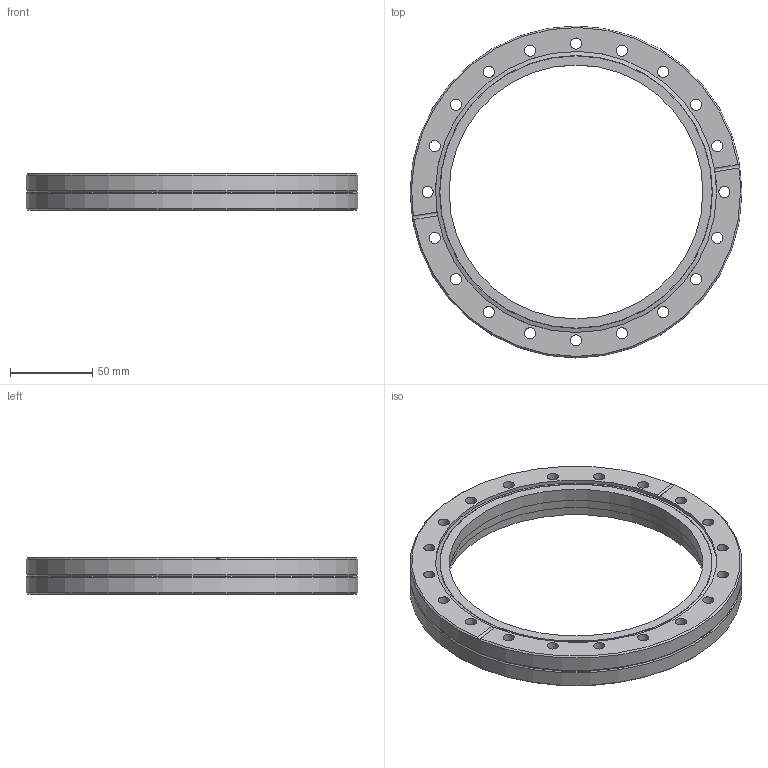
import cadquery as cq
import math

outer_diameter = 202.4
thickness = 22.2
bore_diameter = 154.8
rim_chamfer = 0.9

rim_groove_width = 1.8
rim_groove_depth = 0.5

recess_diameter = 171.4
recess_depth = 2.2
knife_diameter = 166.0
knife_tip_width = 0.2
knife_angle = 20.0
inner_land_depth = 1.1

deep_counterbore_diameter = 158.8
deep_counterbore_depth = 12.9
shallow_counterbore_diameter = 161.0
shallow_counterbore_depth = 6.1

bolt_count = 20
bolt_circle_diameter = 181.0
bolt_hole_diameter = 6.8

leak_groove_width = 2.2
leak_groove_depth = 0.6

outer_radius = outer_diameter / 2
bore_radius = bore_diameter / 2
recess_radius = recess_diameter / 2
bolt_pitch_angle = 360 / bolt_count


def revolved(points):
    """Revolve a closed (radius, height) outline about the Z axis."""
    return cq.Workplane("XZ").polyline(points).close().revolve(360, (0, 0), (0, 1))


def flange_ring():
    knife_radius = knife_diameter / 2
    knife_slope_radius = knife_radius + knife_tip_width
    deep_radius = deep_counterbore_diameter / 2
    shallow_radius = shallow_counterbore_diameter / 2
    recess_floor = thickness - recess_depth
    land = thickness - inner_land_depth
    knife_slope_height = (recess_radius - knife_slope_radius) * math.tan(math.radians(knife_angle))
    knife_tip = recess_floor + knife_slope_height
    middle = thickness / 2
    return revolved([
        (shallow_radius, 0),
        (outer_radius - rim_chamfer, 0),
        (outer_radius, rim_chamfer),
        (outer_radius, middle - rim_groove_width / 2),
        (outer_radius - rim_groove_depth, middle),
        (outer_radius, middle + rim_groove_width / 2),
        (outer_radius, thickness - rim_chamfer),
        (outer_radius - rim_chamfer, thickness),
        (recess_radius, thickness),
        (recess_radius, recess_floor),
        (knife_slope_radius, knife_tip),
        (knife_radius, knife_tip),
        (knife_radius, land),
        (bore_radius, land),
        (bore_radius, deep_counterbore_depth),
        (deep_radius, deep_counterbore_depth),
        (deep_radius, shallow_counterbore_depth),
        (shallow_radius, shallow_counterbore_depth),
    ])


def bolt_holes():
    return (
        cq.Workplane("XY")
        .polarArray(bolt_circle_diameter / 2, 0, 360, bolt_count)
        .circle(bolt_hole_diameter / 2)
        .extrude(thickness)
    )


def leak_groove(angle):
    """Round-bottomed radial groove from the gasket recess out through the rim."""
    radius = (leak_groove_width**2 / 4 + leak_groove_depth**2) / (2 * leak_groove_depth)
    start = knife_diameter / 2
    return (
        cq.Workplane("YZ", origin=(start, 0, 0))
        .center(0, thickness - leak_groove_depth + radius)
        .circle(radius)
        .extrude(outer_radius - start)
        .rotate((0, 0, 0), (0, 0, 1), angle)
    )


result = flange_ring().cut(bolt_holes())
for half_turn in (0, 180):
    result = result.cut(leak_groove(bolt_pitch_angle / 2 + half_turn))